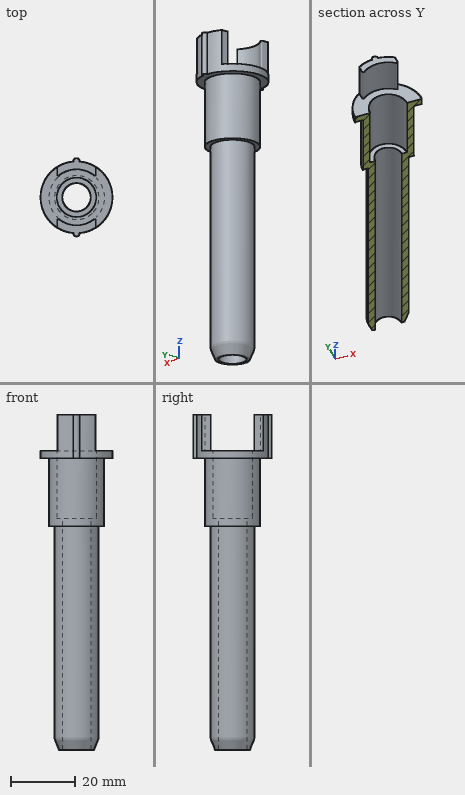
import cadquery as cq

TOTAL_HEIGHT = 104.65
TAB_HEIGHT = 11.25
FLANGE_THICKNESS = 2.4
BODY_LENGTH = 21.2

FLANGE_DIAMETER = 22.5
BODY_DIAMETER = 17.3
STEM_DIAMETER = 13.8
WALL = 2.5
BODY_BORE_DIAMETER = BODY_DIAMETER - 2 * WALL
STEM_BORE_DIAMETER = STEM_DIAMETER - 2 * WALL

TAPER_HEIGHT = 3.5
TIP_DIAMETER = 10.9
TAPER_BLEND_RADIUS = 2.0
TIP_EDGE_RADIUS = 0.1

TAB_WIDTH = 12.0
TAB_INNER_DIAMETER = 17.5
TAB_CORNER_RADIUS = 0.35

KEY_RADIUS = 1.0

FLANGE_TOP = TOTAL_HEIGHT - TAB_HEIGHT
FLANGE_BOTTOM = FLANGE_TOP - FLANGE_THICKNESS
BODY_BOTTOM = FLANGE_BOTTOM - BODY_LENGTH
BORE_STEP = BODY_BOTTOM + WALL


def cylinder(diameter, bottom, top):
    """Vertical cylinder on the part axis."""
    return cq.Workplane("XY").workplane(offset=bottom).circle(diameter / 2).extrude(top - bottom)


def make_stem():
    """Long pin with a tapered tip, blended into the straight part."""
    stem = (
        cq.Workplane("XZ")
        .moveTo(0, 0)
        .lineTo(TIP_DIAMETER / 2, 0)
        .lineTo(STEM_DIAMETER / 2, TAPER_HEIGHT)
        .lineTo(STEM_DIAMETER / 2, BODY_BOTTOM)
        .lineTo(0, BODY_BOTTOM)
        .close()
        .revolve(360, (0, 0, 0), (0, 1, 0))
    )
    taper_edge = cq.selectors.BoxSelector(
        (-STEM_DIAMETER, -STEM_DIAMETER, TAPER_HEIGHT / 2),
        (STEM_DIAMETER, STEM_DIAMETER, TAPER_HEIGHT * 2),
    )
    stem = stem.edges(taper_edge).fillet(TAPER_BLEND_RADIUS)
    return stem.faces("<Z").edges().fillet(TIP_EDGE_RADIUS)


def make_tabs():
    """Two opposite ring segments with rounded inner corners."""
    ring = cylinder(FLANGE_DIAMETER, FLANGE_TOP, TOTAL_HEIGHT).cut(
        cylinder(TAB_INNER_DIAMETER, FLANGE_TOP, TOTAL_HEIGHT)
    )
    strip = (
        cq.Workplane("XY")
        .workplane(offset=FLANGE_TOP)
        .rect(TAB_WIDTH, FLANGE_DIAMETER)
        .extrude(TAB_HEIGHT)
    )
    tabs = ring.intersect(strip)
    inner_corners = cq.selectors.BoxSelector(
        (-TAB_WIDTH, -TAB_INNER_DIAMETER / 2, FLANGE_TOP),
        (TAB_WIDTH, TAB_INNER_DIAMETER / 2, TOTAL_HEIGHT),
    )
    return tabs.edges("|Z").edges(inner_corners).fillet(TAB_CORNER_RADIUS)


def make_keys():
    """Two opposite round ribs centred on the rim of the flange."""
    return (
        cq.Workplane("XY")
        .workplane(offset=FLANGE_BOTTOM)
        .pushPoints([(0, -FLANGE_DIAMETER / 2), (0, FLANGE_DIAMETER / 2)])
        .circle(KEY_RADIUS)
        .extrude(TOTAL_HEIGHT - FLANGE_BOTTOM)
    )


def make_bores():
    """Through hole along the stem, wider inside the body."""
    return cylinder(STEM_BORE_DIAMETER, 0, FLANGE_TOP).union(
        cylinder(BODY_BORE_DIAMETER, BORE_STEP, FLANGE_TOP)
    )


body = cylinder(BODY_DIAMETER, BODY_BOTTOM, FLANGE_BOTTOM)
flange = cylinder(FLANGE_DIAMETER, FLANGE_BOTTOM, FLANGE_TOP)
solid_part = make_stem().union(body).union(flange).union(make_tabs()).union(make_keys())
result = solid_part.cut(make_bores())